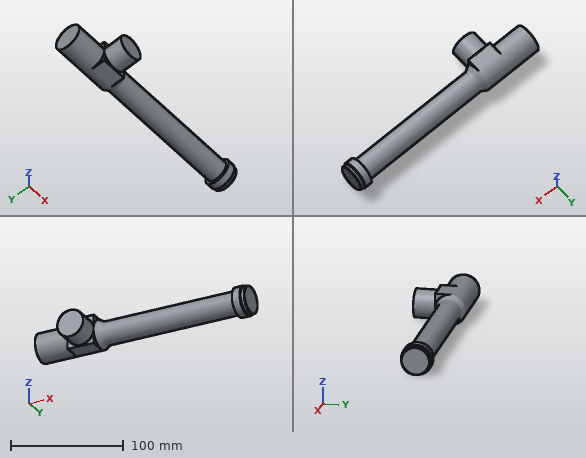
import cadquery as cq
import math

total_length = 209.7
body_dia = 28.0
tube_dia = 22.0
body_length = 59.65
taper_angle = 30.0
taper_length = (body_dia - tube_dia) / 2 / math.tan(math.radians(taper_angle))
taper_blend_radius = 1.2

collar_length = 8.3
spigot_dia = 26.0
spigot_length = 3.7
end_chamfer = 0.5
collar_start = total_length - spigot_length - collar_length

branch_dia = 26.0
branch_reach = 34.0
block_start = 33.0
block_depth = body_dia / 2


def cylinder_x(start, length, diameter):
    return cq.Workplane("YZ", origin=(start, 0, 0)).circle(diameter / 2).extrude(length)


def chamfered_cylinder_x(start, length, diameter):
    return cylinder_x(start, length, diameter).faces(">X").edges().chamfer(end_chamfer)


def make_main_run():
    """Body, conical taper and tube, with both ends of the taper rounded."""
    body_radius = body_dia / 2
    tube_radius = tube_dia / 2
    taper_end = body_length + taper_length
    run = (
        cq.Workplane("XY")
        .moveTo(0, 0)
        .lineTo(0, body_radius)
        .lineTo(body_length, body_radius)
        .lineTo(taper_end, tube_radius)
        .lineTo(collar_start, tube_radius)
        .lineTo(collar_start, 0)
        .close()
        .revolve(360, (0, 0, 0), (1, 0, 0))
    )
    taper_zone = cq.selectors.BoxSelector(
        (body_length - taper_blend_radius, -body_dia, -body_dia),
        (taper_end + taper_blend_radius, body_dia, body_dia),
    )
    return run.edges("%CIRCLE").edges(taper_zone).fillet(taper_blend_radius)


def make_collar():
    return chamfered_cylinder_x(collar_start, collar_length, body_dia)


def make_spigot():
    return chamfered_cylinder_x(total_length - spigot_length, spigot_length, spigot_dia)


def make_branch_block():
    """Square block that gives the branch a flat seat on the round body."""
    block = cq.Workplane("XY").box(branch_dia, block_depth, body_dia, centered=(False, False, True))
    return block.translate((block_start, -block_depth, 0))


def make_branch():
    branch_x = block_start + branch_dia / 2
    return cq.Workplane("XZ", origin=(branch_x, 0, 0)).circle(branch_dia / 2).extrude(branch_reach)


result = make_main_run()
for feature in (make_collar(), make_spigot(), make_branch_block(), make_branch()):
    result = result.union(feature)